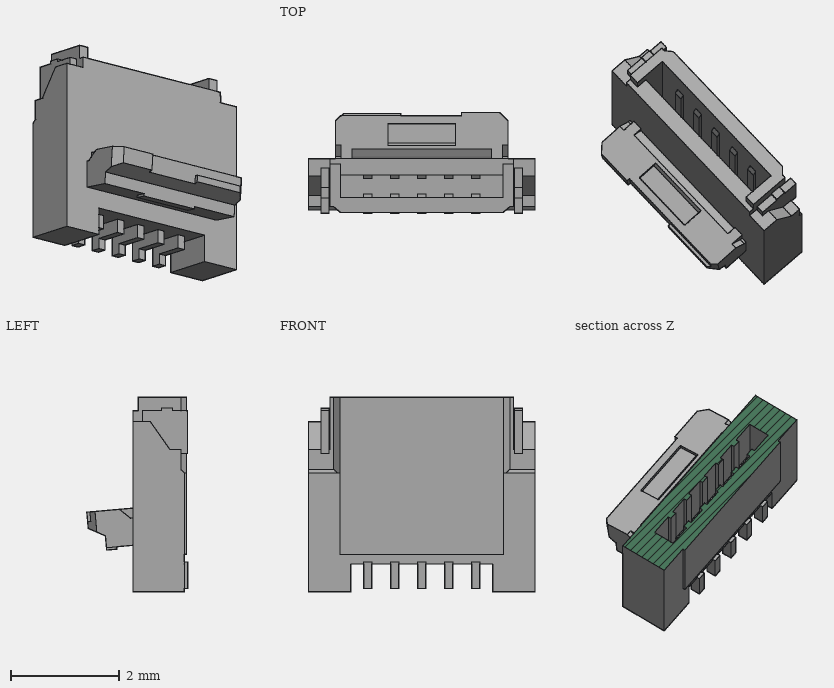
import cadquery as cq


housing_width = 4.2
housing_height = 3.6
housing_front_y = -0.95
ledge_front_y = -0.885
ledge_chamfer_bottom = 2.2
ledge_chamfer_top = ledge_chamfer_bottom - housing_front_y + ledge_front_y
shoulder_bottom_z = 2.63
shoulder_top_z = 3.15
shoulder_slope_front_y = -0.685
shoulder_slope_rear_y = -0.32

core_width = 3.4
panel_front_y = -0.995
panel_width = 3.02
panel_bottom_z = 0.69
core_bevel_width = 0.12
core_flat_width = panel_width + 2 * core_bevel_width
rear_wall_top_z = 3.35
side_wall_rear_y = -0.095
cavity_width = 3.0
cavity_rear_y = -0.305
cavity_front_y = -0.715
cavity_floor_z = 1.0

notch_width = 2.62
notch_height = 0.51
contact_count = 5
contact_pitch = 0.5
contact_width = 0.155
contact_projection = 0.06
contact_top_z = 2.9
front_contact_drop = 0.1
rear_contact_drop = 0.05
tail_front_y = -1.015
tail_depth = 0.19
tail_bottom_z = 0.06
tail_top_z = 0.555
arm_bottom_z = 0.255

clip_inner_x = 1.715
clip_thickness = 0.15
clip_front_y = -1.01
clip_rear_y = -0.175
clip_bottom_z = 2.555
clip_top_z = 3.35
clip_bump_top_z = 3.4
clip_bump_front_y = -0.73
clip_bump_rear_y = -0.53

actuator_tilt = 5.0
actuator_root_z = 1.55
actuator_width = 3.2
actuator_root_u = -0.1
actuator_tip_u = 0.86
actuator_tip_bottom_w = -0.305
actuator_step_u = 0.555
actuator_step_w = -0.47
actuator_bottom_w = -0.69
tip_corner_chamfer = 0.155
tip_relief_u = 0.8
tip_relief_right_x = 0.735
tip_gap_left_x = -0.385
left_tab_top_w = -0.18
window_width = 1.25
window_inner_u = 0.245
window_outer_u = 0.65
window_depth = 0.06
window_wall_run = 0.05
foot_inner_u = 0.36
foot_bottom_w = -0.735
end_relief_length = 0.105
end_relief_outer_u = 0.255
end_relief_inner_u = 0.06
end_relief_w = -0.185
groove_width = 2.59
groove_outer_u = 0.178
groove_break_u = 0.04
groove_break_w = -0.09
groove_bottom_w = -0.127


def box(x_min, x_max, y_min, y_max, z_min, z_max):
    """Axis-aligned box between two opposite corners."""
    size = (x_max - x_min, y_max - y_min, z_max - z_min)
    return cq.Workplane("XY").box(*size, centered=False).translate((x_min, y_min, z_min))


def centered_box(width, y_min, y_max, z_min, z_max):
    """Box centred on X = 0."""
    return box(-width / 2, width / 2, y_min, y_max, z_min, z_max)


def side_prism(points, x_min, x_max):
    """Side outline in (Y, Z) extruded along X."""
    prism = cq.Workplane("YZ").polyline(points).close().extrude(x_max - x_min)
    return prism.translate((x_min, 0, 0))


def centered_prism(points, width):
    """Side outline extruded symmetrically about X = 0."""
    return side_prism(points, -width / 2, width / 2)


def both_sides(solid):
    """Solid joined with its mirror image across X = 0."""
    return solid.union(solid.mirror("YZ"))


def contact_positions():
    middle = (contact_count - 1) / 2
    return [(index - middle) * contact_pitch for index in range(contact_count)]


def make_base():
    """Full-width lower body with sloping shoulders and a chamfered front ledge."""
    outline = [
        (0, 0),
        (housing_front_y, 0),
        (housing_front_y, ledge_chamfer_bottom),
        (ledge_front_y, ledge_chamfer_top),
        (ledge_front_y, shoulder_bottom_z),
        (shoulder_slope_front_y, shoulder_bottom_z),
        (shoulder_slope_rear_y, shoulder_top_z),
        (0, shoulder_top_z),
    ]
    return centered_prism(outline, housing_width)


def make_core():
    """Tall centre block with bevelled front corners, plus the raised front panel."""
    half_core = core_width / 2
    half_flat = core_flat_width / 2
    half_panel = panel_width / 2
    outline = [
        (-half_core, 0),
        (-half_core, ledge_front_y),
        (-half_flat, ledge_front_y),
        (-half_panel, panel_front_y),
        (half_panel, panel_front_y),
        (half_flat, ledge_front_y),
        (half_core, ledge_front_y),
        (half_core, 0),
    ]
    core = (
        cq.Workplane("XY")
        .workplane(offset=ledge_chamfer_bottom)
        .polyline(outline)
        .close()
        .extrude(housing_height - ledge_chamfer_bottom)
    )
    panel = centered_box(panel_width, panel_front_y, ledge_front_y, panel_bottom_z, housing_height)
    rear_step = centered_box(core_width, side_wall_rear_y, 0, rear_wall_top_z, housing_height)
    mouth = centered_box(cavity_width, cavity_front_y, 0, rear_wall_top_z, housing_height)
    return core.union(panel).cut(rear_step).cut(mouth)


def cut_cavity_and_notch(body):
    cavity = centered_box(cavity_width, cavity_front_y, cavity_rear_y, cavity_floor_z, housing_height)
    notch = centered_box(notch_width, housing_front_y, 0, 0, notch_height)
    return body.cut(cavity).cut(notch)


def make_contact(x):
    """Solder tail, the arm behind it, and a pair of bevelled contact strips on the cavity walls."""
    left = x - contact_width / 2
    right = x + contact_width / 2
    contact = box(left, right, tail_front_y, tail_front_y + tail_depth, tail_bottom_z, tail_top_z)
    arm = box(left, right, tail_front_y, cavity_rear_y, arm_bottom_z, tail_top_z)
    contact = contact.union(arm)
    walls = (
        (cavity_front_y, contact_projection, front_contact_drop),
        (cavity_rear_y, -contact_projection, rear_contact_drop),
    )
    for wall_y, inward_step, tip_drop in walls:
        inner_y = wall_y + inward_step
        strip = [
            (wall_y, cavity_floor_z),
            (inner_y, cavity_floor_z),
            (inner_y, contact_top_z - tip_drop),
            (wall_y, contact_top_z),
        ]
        contact = contact.union(side_prism(strip, left, right))
    return contact


def make_clips():
    """Upright plates beside the core, each with a small bump on its top edge."""
    outer_x = clip_inner_x + clip_thickness
    plate = box(clip_inner_x, outer_x, clip_front_y, clip_rear_y, clip_bottom_z, clip_top_z)
    bump = box(clip_inner_x, outer_x, clip_bump_front_y, clip_bump_rear_y, clip_top_z, clip_bump_top_z)
    return both_sides(plate.union(bump))


def make_actuator_plate():
    """Stepped plate with a bevelled underside at its tip and a foot below."""
    outline = [
        (actuator_root_u, 0),
        (actuator_tip_u, 0),
        (actuator_tip_u, actuator_tip_bottom_w),
        (actuator_step_u, actuator_step_w),
        (actuator_step_u, actuator_bottom_w),
        (actuator_root_u, actuator_bottom_w),
    ]
    plate = centered_prism(outline, actuator_width).edges("|Z and >Y").chamfer(tip_corner_chamfer)
    foot = centered_box(window_width, foot_inner_u, actuator_step_u, foot_bottom_w, actuator_bottom_w)
    return plate.union(foot)


def cut_tip_relief(plate):
    """Leave a full-height tab on the right of the tip and a low tab on the left."""
    half_width = actuator_width / 2
    left_relief = box(-half_width, tip_gap_left_x, tip_relief_u, actuator_tip_u, left_tab_top_w, 0)
    gap = box(tip_gap_left_x, tip_relief_right_x, tip_relief_u, actuator_tip_u, actuator_step_w, 0)
    return plate.cut(left_relief).cut(gap)


def cut_top_pockets(plate):
    """Window pocket, root groove and the two sloping end reliefs."""
    window = [
        (window_inner_u, 0),
        (window_inner_u + window_wall_run, -window_depth),
        (window_outer_u, -window_depth),
        (window_outer_u, 0),
    ]
    groove = [
        (groove_outer_u, 0),
        (groove_break_u, groove_break_w),
        (0, groove_bottom_w),
        (actuator_root_u, groove_bottom_w),
        (actuator_root_u, 0),
    ]
    end_relief = [
        (end_relief_outer_u, 0),
        (end_relief_inner_u, end_relief_w),
        (actuator_root_u, end_relief_w),
        (actuator_root_u, 0),
    ]
    half_width = actuator_width / 2
    reliefs = both_sides(side_prism(end_relief, half_width - end_relief_length, half_width))
    plate = plate.cut(centered_prism(window, window_width))
    return plate.cut(centered_prism(groove, groove_width)).cut(reliefs)


def make_actuator():
    plate = cut_top_pockets(cut_tip_relief(make_actuator_plate()))
    tilted = plate.rotate((0, 0, 0), (1, 0, 0), -actuator_tilt)
    return tilted.translate((0, 0, actuator_root_z))


body = cut_cavity_and_notch(make_base().union(make_core()))
for contact_x in contact_positions():
    body = body.union(make_contact(contact_x))
result = body.union(make_clips()).union(make_actuator())